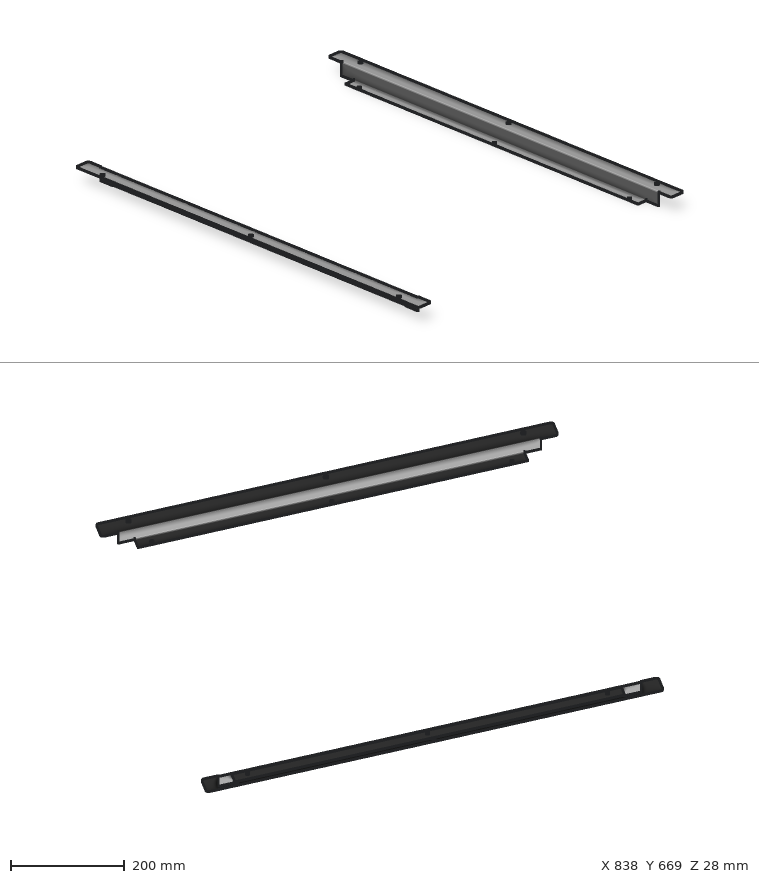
import cadquery as cq

rail_length = 838.0
overall_width = 669.0
rail_height = 28.0
sheet = 1.5
bend_outer_radius = 3.0
bend_inner_radius = bend_outer_radius - sheet

web_length = 775.0
lower_flange_length = 715.0

upper_flange_width = 32.0
rail_width = 52.0
corner_radius = 5.0

upper_hole_diameter = 7.1
upper_hole_offset = 362.0
upper_hole_edge_distance = 9.0
lower_hole_diameter = 5.5
lower_hole_offset = 330.0
lower_hole_edge_distance = 7.0

outer_y = -overall_width / 2
web_inner_y = outer_y + upper_flange_width
web_outer_y = web_inner_y - sheet
lower_edge_y = outer_y + rail_width
upper_bend_y = web_inner_y - bend_outer_radius
lower_bend_y = web_outer_y + bend_outer_radius
upper_bend_z = rail_height - bend_outer_radius
lower_bend_z = bend_outer_radius


def bar(length, y_start, y_end, z_start, z_end):
    """Rectangular bar centred on X."""
    return (
        cq.Workplane("XY", origin=(0, (y_start + y_end) / 2, z_start))
        .box(length, y_end - y_start, z_end - z_start, centered=(True, True, False))
    )


def bend(length, center_y, center_z, y_side, z_side):
    """Quarter tube around an X axis, on the given sides of its centre."""
    reach = bend_outer_radius
    tube = (
        cq.Workplane("YZ", origin=(-length / 2, center_y, center_z))
        .circle(bend_outer_radius)
        .circle(bend_inner_radius)
        .extrude(length)
    )
    quarter = cq.Workplane("XY").box(length, reach, reach).translate(
        (0, center_y + y_side * reach / 2, center_z + z_side * reach / 2)
    )
    return tube.intersect(quarter)


def upper_flange():
    """Full-length plate with rounded corners; its edge rolls into the web between the overhanging ends."""
    plate = bar(rail_length, outer_y, web_inner_y, rail_height - sheet, rail_height)
    plate = plate.edges("|Z").fillet(corner_radius)
    bend_space = bar(web_length, upper_bend_y, web_inner_y, rail_height - sheet, rail_height)
    return plate.cut(bend_space)


def drill(body, x, y, diameter):
    """Round hole through the full height."""
    cutter = cq.Workplane("XY").center(x, y).circle(diameter / 2).extrude(rail_height)
    return body.cut(cutter)


def cut_holes(rail):
    upper_y = outer_y + upper_hole_edge_distance
    lower_y = lower_edge_y - lower_hole_edge_distance
    for position in (-1, 0, 1):
        rail = drill(rail, position * upper_hole_offset, upper_y, upper_hole_diameter)
        rail = drill(rail, position * lower_hole_offset, lower_y, lower_hole_diameter)
    return rail


def make_rail():
    web = bar(web_length, web_outer_y, web_inner_y, lower_bend_z, upper_bend_z)
    web_foot = bar(web_length, web_outer_y, web_inner_y, 0, lower_bend_z)
    bend_space = bar(lower_flange_length, web_outer_y, web_inner_y, 0, lower_bend_z)
    lower_flange = bar(lower_flange_length, lower_bend_y, lower_edge_y, 0, sheet)
    rail = (
        upper_flange()
        .union(bend(web_length, upper_bend_y, upper_bend_z, 1, 1))
        .union(web)
        .union(web_foot.cut(bend_space))
        .union(bend(lower_flange_length, lower_bend_y, lower_bend_z, -1, -1))
        .union(lower_flange)
    )
    return cut_holes(rail)


rails = [make_rail().rotate((0, 0, 0), (0, 0, 1), turn) for turn in (0, 180)]

result = cq.Compound.makeCompound([rail.val() for rail in rails])